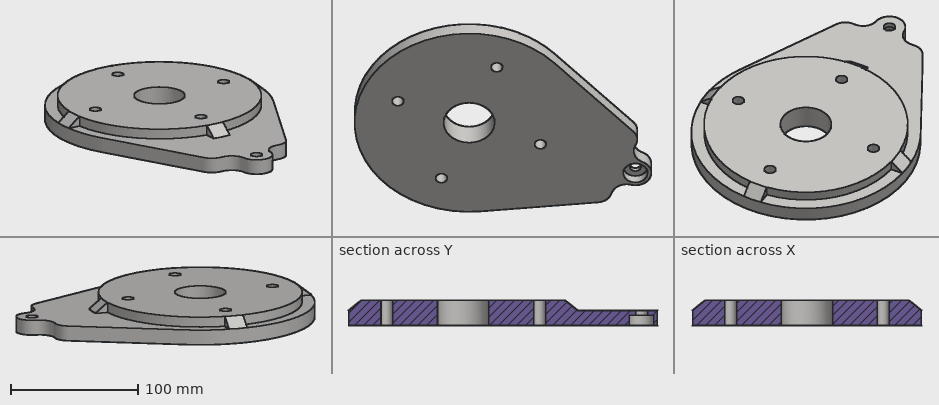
import cadquery as cq
import math

plate_thickness = 12.0
body_radius = 90.0
nose_x = 130.0
nose_half_width = 35.0
nose_corner_radius = 12.0

lug_center_x = 140.0
lug_radius = 12.5
neck_radius = 12.0

total_height = 20.0
disk_radius = 80.0
wedge_width = 15.0
wedge_count = 4

center_bore_diameter = 40.0
small_hole_diameter = 9.0
bolt_circle_radius = 60.0
bolt_count = 4

counterbore_diameter = 19.0
counterbore_floor = 4.0


def make_plate():
    """Plate outline: flanks tangent to the round body, rounded nose corners, necked lug."""
    corner_distance = math.hypot(nose_x, nose_half_width)
    corner_bearing = math.atan2(nose_half_width, nose_x)
    flank_angle = corner_bearing + math.acos(body_radius / corner_distance)
    normal_x = math.cos(flank_angle)
    normal_y = math.sin(flank_angle)
    flank_start_x = body_radius * normal_x
    flank_start_y = body_radius * normal_y

    corner_x = nose_x - nose_corner_radius
    corner_y = (body_radius - nose_corner_radius - normal_x * corner_x) / normal_y
    corner_start_x = corner_x + nose_corner_radius * normal_x
    corner_start_y = corner_y + nose_corner_radius * normal_y
    corner_mid_x = corner_x + nose_corner_radius * math.cos(flank_angle / 2)
    corner_mid_y = corner_y + nose_corner_radius * math.sin(flank_angle / 2)

    neck_x = nose_x + neck_radius
    neck_offset_x = neck_x - lug_center_x
    neck_distance = lug_radius + neck_radius
    neck_y = math.sqrt(neck_distance**2 - neck_offset_x**2)
    lug_start_x = lug_center_x + lug_radius * neck_offset_x / neck_distance
    lug_start_y = lug_radius * neck_y / neck_distance
    neck_sweep = math.atan2(neck_y, neck_offset_x)
    neck_mid_x = neck_x - neck_radius * math.cos(neck_sweep / 2)
    neck_mid_y = neck_y - neck_radius * math.sin(neck_sweep / 2)

    return (
        cq.Workplane("XY")
        .moveTo(flank_start_x, flank_start_y)
        .lineTo(corner_start_x, corner_start_y)
        .threePointArc((corner_mid_x, corner_mid_y), (nose_x, corner_y))
        .lineTo(nose_x, neck_y)
        .threePointArc((neck_mid_x, neck_mid_y), (lug_start_x, lug_start_y))
        .threePointArc((lug_center_x + lug_radius, 0), (lug_start_x, -lug_start_y))
        .threePointArc((neck_mid_x, -neck_mid_y), (nose_x, -neck_y))
        .lineTo(nose_x, -corner_y)
        .threePointArc((corner_mid_x, -corner_mid_y), (corner_start_x, -corner_start_y))
        .lineTo(flank_start_x, -flank_start_y)
        .threePointArc((-body_radius, 0), (flank_start_x, flank_start_y))
        .close()
        .extrude(plate_thickness)
    )


def make_cylinder(radius, x=0, y=0, height=total_height):
    """Upright cylinder rising from the underside, by default through the full height."""
    return cq.Workplane("XY").center(x, y).circle(radius).extrude(height)


def make_wedge(angle):
    """Brace sloping from the disk rim down to the body radius, turned about Z."""
    return (
        cq.Workplane("XZ")
        .moveTo(bolt_circle_radius, plate_thickness)
        .lineTo(body_radius, plate_thickness)
        .lineTo(disk_radius, total_height)
        .lineTo(bolt_circle_radius, total_height)
        .close()
        .extrude(wedge_width / 2, both=True)
        .rotate((0, 0, 0), (0, 0, 1), angle)
    )


def make_raised_disk():
    """Disk with its wedges, trimmed so no wedge corner overhangs the round body."""
    raised = make_cylinder(disk_radius)
    for index in range(wedge_count):
        raised = raised.union(make_wedge(index * 360 / wedge_count))
    return raised.intersect(make_cylinder(body_radius))


def cut_holes(body):
    """Central bore, counterbored lug hole and the ring of bolt holes, all right through."""
    small_hole_radius = small_hole_diameter / 2
    body = body.cut(make_cylinder(center_bore_diameter / 2))
    body = body.cut(make_cylinder(small_hole_radius, lug_center_x))
    counterbore_depth = plate_thickness - counterbore_floor
    body = body.cut(make_cylinder(counterbore_diameter / 2, lug_center_x, height=counterbore_depth))
    for index in range(bolt_count):
        bolt_angle = 2 * math.pi * index / bolt_count
        bolt_x = bolt_circle_radius * math.cos(bolt_angle)
        bolt_y = bolt_circle_radius * math.sin(bolt_angle)
        body = body.cut(make_cylinder(small_hole_radius, bolt_x, bolt_y))
    return body


result = cut_holes(make_plate().union(make_raised_disk()))